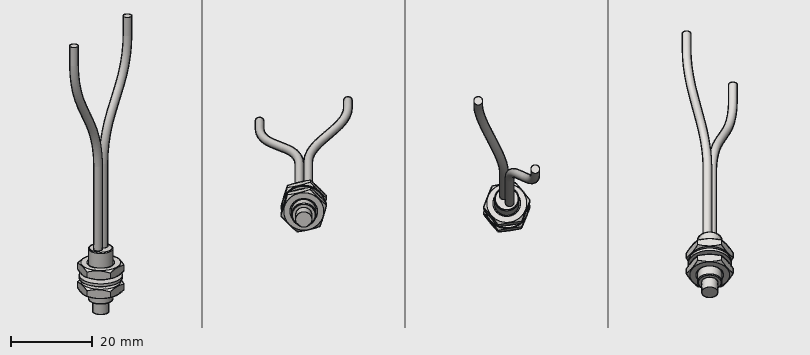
import cadquery as cq
import math

TOTAL_HEIGHT = 75.2
TOTAL_SPREAD = 24.45

TIP_DIAMETER = 4.0
TIP_LENGTH = 3.15
BARREL_DIAMETER = 6.0
BARREL_TOP = 17.1
BARREL_CHAMFER = 0.2

HEX_SIDES = 6
HALF_HEX_ANGLE = 180 / HEX_SIDES
NUT_FLATS = 10.0
NUT_THICKNESS = 2.5
NUT_FACE_DIAMETER = 9.8
NUT_BEVEL_ANGLE = 30.0
NUT_COUNTERSINK_DIAMETER = 6.8
NUT_MIDDLES = (6.85, 11.9)

WASHER_DIAMETER = 10.6
WASHER_THICKNESS = 0.75
WASHER_MIDDLE = sum(NUT_MIDDLES) / len(NUT_MIDDLES)

CABLE_DIAMETER = 2.2
CABLE_GAP = 0.1
BEND_RADIUS = 25.0
BEND_ANGLE = 30.0
CABLE_END_LENGTH = 5.05


def make_barrel():
    """Barrel with chamfered ends, standing on the slimmer tip."""
    tip = cq.Workplane("XY").circle(TIP_DIAMETER / 2).extrude(TIP_LENGTH)
    barrel = (
        cq.Workplane("XY", origin=(0, 0, TIP_LENGTH))
        .circle(BARREL_DIAMETER / 2)
        .extrude(BARREL_TOP - TIP_LENGTH)
        .faces("<Z or >Z")
        .chamfer(BARREL_CHAMFER)
    )
    return tip.union(barrel)


def make_nut(middle):
    """Hexagon nut with bevelled corners and a countersunk bore, centred at height middle."""
    corner_diameter = NUT_FLATS / math.cos(math.radians(HALF_HEX_ANGLE))
    half = NUT_THICKNESS / 2
    hexagon = (
        cq.Workplane("XY")
        .polygon(HEX_SIDES, corner_diameter)
        .extrude(half, both=True)
        .rotate((0, 0, 0), (0, 0, 1), HALF_HEX_ANGLE)
    )

    corner_radius = corner_diameter / 2
    face_radius = NUT_FACE_DIAMETER / 2
    bevel_drop = (corner_radius - face_radius) * math.tan(math.radians(NUT_BEVEL_ANGLE))
    bore_radius = BARREL_DIAMETER / 2
    sink_radius = NUT_COUNTERSINK_DIAMETER / 2
    sink_depth = sink_radius - bore_radius
    envelope = (
        cq.Workplane("XZ")
        .moveTo(bore_radius, -half + sink_depth)
        .lineTo(sink_radius, -half)
        .lineTo(face_radius, -half)
        .lineTo(corner_radius, -half + bevel_drop)
        .lineTo(corner_radius, half - bevel_drop)
        .lineTo(face_radius, half)
        .lineTo(sink_radius, half)
        .lineTo(bore_radius, half - sink_depth)
        .close()
        .revolve(360, (0, 0), (0, 1))
    )
    return hexagon.intersect(envelope).translate((0, 0, middle))


def make_cable(side):
    """Cable rising from the barrel, bending outwards and back upright; side is +1 or -1 along Y."""
    start_y = (CABLE_DIAMETER + CABLE_GAP) / 2
    end_y = (TOTAL_SPREAD - CABLE_DIAMETER) / 2
    angle = math.radians(BEND_ANGLE)

    def bend_offset(turn):
        """Sideways and upward travel along a bend after turning by the given angle."""
        return BEND_RADIUS * (1 - math.cos(turn)), BEND_RADIUS * math.sin(turn)

    mid_y, mid_z = bend_offset(angle / 2)
    full_y, full_z = bend_offset(angle)
    slope_rise = (end_y - start_y - 2 * full_y) / math.tan(angle)
    upper_bend_end = TOTAL_HEIGHT - CABLE_END_LENGTH
    lower_bend_start = upper_bend_end - 2 * full_z - slope_rise

    path = (
        cq.Workplane("YZ")
        .moveTo(side * start_y, BARREL_TOP)
        .lineTo(side * start_y, lower_bend_start)
        .threePointArc(
            (side * (start_y + mid_y), lower_bend_start + mid_z),
            (side * (start_y + full_y), lower_bend_start + full_z),
        )
        .lineTo(side * (end_y - full_y), upper_bend_end - full_z)
        .threePointArc(
            (side * (end_y - mid_y), upper_bend_end - mid_z),
            (side * end_y, upper_bend_end),
        )
        .lineTo(side * end_y, TOTAL_HEIGHT)
    )
    return (
        cq.Workplane("XY", origin=(0, side * start_y, BARREL_TOP))
        .circle(CABLE_DIAMETER / 2)
        .sweep(path)
    )


def make_sensor_head():
    """Barrel, tip, both nuts and both cables as one solid."""
    head = make_barrel()
    for middle in NUT_MIDDLES:
        head = head.union(make_nut(middle))
    for side in (-1, 1):
        head = head.union(make_cable(side))
    return head.solids()


def make_washer():
    """Flat washer fitting closely around the barrel, clear of both nuts."""
    return (
        cq.Workplane("XY", origin=(0, 0, WASHER_MIDDLE))
        .circle(WASHER_DIAMETER / 2)
        .circle(BARREL_DIAMETER / 2)
        .extrude(WASHER_THICKNESS / 2, both=True)
    )


sensor_head = make_sensor_head()
washer = make_washer()

result = cq.Compound.makeCompound([sensor_head.val(), washer.val()])